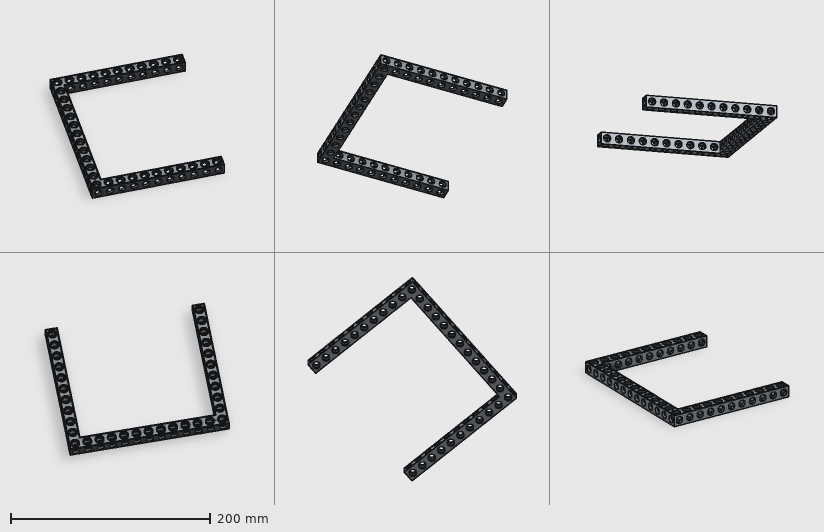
import cadquery as cq

pitch = 12.5
base_holes = 13
arm_holes = 11

bar = pitch
width = base_holes * pitch
depth = arm_holes * pitch

hole_diameter = 7.0
hole_chamfer = 0.3

edge_chamfer = 0.3

relief_depth = 0.2
border_width = 1.1
collar_diameter = 9.2

rib_width = 0.2

x_centres = [(i + 1 / 2) * pitch - width / 2 for i in range(base_holes)]
y_centres = [(i + 1 / 2) * pitch for i in range(arm_holes)]
arm_x_centres = (x_centres[0], x_centres[-1])
base_y_centre = y_centres[0]
mid_height = bar / 2


def u_prism(inset, bottom, height):
    """U-shaped prism open toward +Y, its outline pulled in by the inset on every side."""
    half_outer = width / 2 - inset
    half_inner = width / 2 - bar + inset
    front = inset
    inner_front = bar - inset
    back = depth - inset
    outline = [
        (-half_outer, front),
        (half_outer, front),
        (half_outer, back),
        (half_inner, back),
        (half_inner, inner_front),
        (-half_inner, inner_front),
        (-half_inner, back),
        (-half_outer, back),
    ]
    return cq.Workplane("XY", origin=(0, 0, bottom)).polyline(outline).close().extrude(height)


def chamfered_frame():
    """Square-bar U frame with every edge chamfered except the two upright inside corners."""
    return u_prism(0, 0, bar).edges("#Z or <Y or >Y").chamfer(edge_chamfer)


def drill(length):
    """Drill body along +Z from the origin, flared at both ends for the lead-in chamfers."""
    radius = hole_diameter / 2
    mouth_radius = radius + hole_chamfer
    profile = [
        (0, 0),
        (mouth_radius, 0),
        (radius, hole_chamfer),
        (radius, length - hole_chamfer),
        (mouth_radius, length),
        (0, length),
    ]
    return cq.Workplane("XZ").polyline(profile).close().revolve(360, (0, 0), (0, 1)).val()


def cut_at(part, tool, positions):
    """Cut a copy of the tool from the part at every position."""
    copies = [tool.translate(cq.Vector(*position)) for position in positions]
    return part.cut(cq.Workplane(cq.Compound.makeCompound(copies)))


def hole_plan():
    """Plan positions of the vertical holes: the base row, then both arms."""
    base = [(x, base_y_centre) for x in x_centres]
    arms = [(x, y) for x in arm_x_centres for y in y_centres[1:]]
    return base + arms


def cut_top_relief(part):
    """Sink the top face between the border, the collars and the rib."""
    floor = bar - relief_depth
    collars = (
        cq.Workplane("XY", origin=(0, 0, floor))
        .pushPoints(hole_plan())
        .circle(collar_diameter / 2)
        .extrude(relief_depth)
    )
    rib_centre = (x_centres[-2] + x_centres[-1]) / 2
    rib = (
        cq.Workplane("XY", origin=(rib_centre, base_y_centre, floor))
        .rect(pitch, rib_width)
        .extrude(relief_depth)
    )
    relief = u_prism(border_width, floor, relief_depth).cut(collars).cut(rib)
    return part.cut(relief)


def cut_vertical_holes(part):
    return cut_at(part, drill(bar), [(x, y, 0) for x, y in hole_plan()])


def cut_holes_along_y(part):
    """Holes through the base, and lengthwise through both arms with the same bore."""
    base_tool = drill(bar).rotate(cq.Vector(), cq.Vector(1, 0, 0), -90)
    arm_tool = drill(depth).rotate(cq.Vector(), cq.Vector(1, 0, 0), -90)
    part = cut_at(part, base_tool, [(x, 0, mid_height) for x in x_centres[1:-1]])
    return cut_at(part, arm_tool, [(x, 0, mid_height) for x in arm_x_centres])


def cut_holes_along_x(part):
    """Holes through both arms, and lengthwise through the base with the same bore."""
    arm_tool = drill(bar).rotate(cq.Vector(), cq.Vector(0, 1, 0), 90)
    base_tool = drill(width).rotate(cq.Vector(), cq.Vector(0, 1, 0), 90)
    arm_starts = (-width / 2, width / 2 - bar)
    part = cut_at(part, arm_tool, [(x, y, mid_height) for x in arm_starts for y in y_centres[1:]])
    return cut_at(part, base_tool, [(-width / 2, base_y_centre, mid_height)])


result = chamfered_frame()
result = cut_top_relief(result)
result = cut_vertical_holes(result)
result = cut_holes_along_y(result)
result = cut_holes_along_x(result)